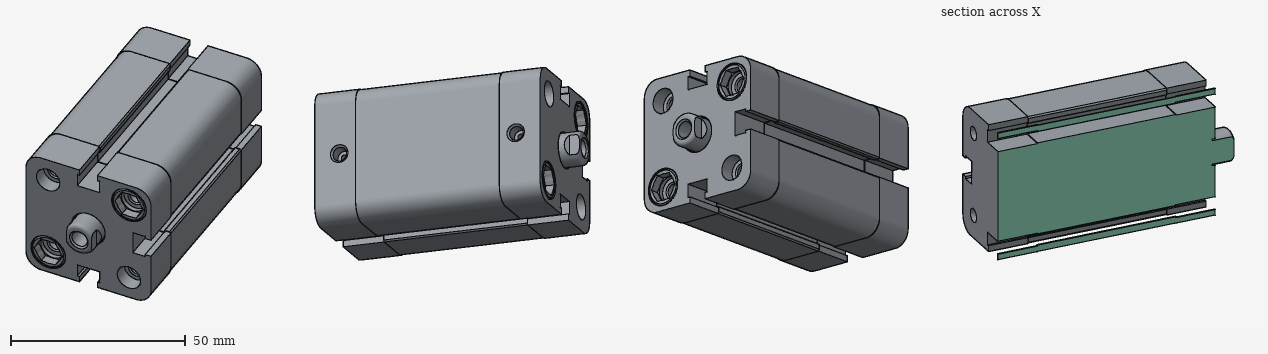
import cadquery as cq


total_length = 75.0
housing_length = 69.0
cap_length = 12.5
cap_width = 40.3
cap_corner_radius = 4.9
tube_width = 40.1
tube_corner_radius = 5.1

cap_slot_mouth = 5.8
cap_slot_width = 7.2
cap_slot_lip = 1.9
slot_size_step = 0.45
slot_depth = 5.85
slot_floor = cap_width / 2 - slot_depth
slot_height_step = 0.2
slot_mouth_chamfer = 0.45
slot_lip_chamfer = 0.2

fixing_pitch = 26.0
through_diameter = 4.1
countersink_diameter = 4.95
thread_diameter = 7.5
thread_depth = 4.5

screw_bore_diameter = 7.6
screw_bore_depth = 4.2
head_recess_diameter = 11.1
head_diameter = 10.8
head_top_diameter = 10.0
head_top_depth = 0.1
hex_corner_diameter = 9.0
hex_relief_diameter = 8.0
hex_depth = 2.8

rod_diameter = 10.0
rod_length = total_length - housing_length
rod_tip_radius = 1.2
rod_flat_width = 8.0
rod_flat_length = 3.15
rod_flat_runout = 1.2
rod_thread_diameter = 4.95
rod_thread_chamfer_diameter = 6.0
rod_thread_depth = 9.75
rod_drill_tip_diameter = 3.0

wiper_diameter = 10.5
wiper_chamfer_diameter = 10.8
wiper_depth = 1.0

port_offset = 7.5
port_chamfer_diameter = 5.3
port_thread_diameter = 4.1
port_thread_depth = 4.5
port_drill_diameter = 2.0
port_drill_depth = 7.5


def y_prism(sketch, start, length):
    """Extrude a sketch drawn in (x, z) from y = start towards +Y."""
    return sketch.extrude(-length).translate((0, start, 0))


def rounded_square(width, radius, start, length):
    block = y_prism(cq.Workplane("XZ").rect(width, width), start, length)
    return block.edges("|Y").fillet(radius)


def turned(profile, x=0, z=0):
    """Revolve a closed (radius, y) profile about an axis parallel to Y."""
    solid = cq.Workplane("XY").polyline(profile).close().revolve(360, (0, 0, 0), (0, 1, 0))
    return solid.translate((x, 0, z))


def slot_cutter(half_outline, start, length):
    """Slot open to +Z; the outline runs from mouth to floor at x > 0 and is mirrored to x < 0."""
    mirrored = [(-x, z) for x, z in reversed(half_outline)]
    return y_prism(cq.Workplane("XZ").polyline(half_outline + mirrored).close(), start, length)


def cut_slots(body, cutter):
    """Cut the slot on the +Z, +X and -Z sides."""
    for angle in (0, 90, 180):
        body = body.cut(cutter.rotate((0, 0, 0), (0, 1, 0), angle))
    return body


def make_cap(start):
    cap = rounded_square(cap_width, cap_corner_radius, start, cap_length)
    top = cap_width / 2
    mouth = cap_slot_mouth / 2
    side = cap_slot_width / 2
    lip = top - cap_slot_lip
    outline = [(mouth, top), (mouth, lip), (side, lip), (side, slot_floor)]
    return cut_slots(cap, slot_cutter(outline, start, cap_length))


def make_tube():
    length = housing_length - 2 * cap_length
    tube = rounded_square(tube_width, tube_corner_radius, cap_length, length)
    top = tube_width / 2
    mouth = (cap_slot_mouth - slot_size_step) / 2
    side = (cap_slot_width - slot_size_step) / 2
    lip = top - cap_slot_lip - slot_height_step
    outline = [
        (mouth + slot_mouth_chamfer, top),
        (mouth, top - slot_mouth_chamfer),
        (mouth, lip + slot_lip_chamfer),
        (mouth + slot_lip_chamfer, lip),
        (side, lip),
        (side, slot_floor + slot_height_step),
    ]
    return cut_slots(tube, slot_cutter(outline, cap_length, length))


def fixing_hole_cutter(bore_diameter, bore_depth, x, z):
    bore = bore_diameter / 2
    sink = countersink_diameter / 2
    through = through_diameter / 2
    profile = [
        (0, 0),
        (bore, 0),
        (bore, bore_depth),
        (sink, bore_depth),
        (through, bore_depth + sink - through),
        (through, housing_length),
        (0, housing_length),
    ]
    return turned(profile, x, z)


def screw_head_cutter(x, z):
    """Clearance around the sunk, chamfered head plus the relieved hexagon socket."""
    top = head_top_diameter / 2
    head = head_diameter / 2
    recess = head_recess_diameter / 2
    groove_depth = head_top_depth + head - top
    clearance = turned(
        [
            (0, 0),
            (recess, 0),
            (recess, groove_depth),
            (head, groove_depth),
            (top, head_top_depth),
            (0, head_top_depth),
        ],
        x,
        z,
    )
    hexagon = y_prism(cq.Workplane("XZ").polygon(6, hex_corner_diameter), 0, hex_depth)
    relief = y_prism(cq.Workplane("XZ").circle(hex_relief_diameter / 2), 0, hex_depth)
    return clearance.union(hexagon.union(relief).translate((x, 0, z)))


def make_rod():
    rod = cq.Workplane("XZ").circle(rod_diameter / 2).extrude(rod_length)
    rod = rod.faces("<Y").edges().fillet(rod_tip_radius)

    flat_x = rod_flat_width / 2
    rod_x = rod_diameter / 2
    flat_end = rod_flat_length - rod_length
    flat = (
        cq.Workplane("XY")
        .moveTo(flat_x, -rod_length)
        .lineTo(flat_x, flat_end)
        .lineTo(rod_x, flat_end + rod_flat_runout)
        .lineTo(rod_x, -rod_length)
        .close()
        .extrude(rod_x, both=True)
    )
    return rod.cut(flat).cut(flat.mirror("YZ"))


def rod_thread_cutter():
    chamfer = rod_thread_chamfer_diameter / 2
    thread = rod_thread_diameter / 2
    tip = rod_drill_tip_diameter / 2
    start = -rod_length
    end = start + rod_thread_depth
    profile = [
        (0, start),
        (chamfer, start),
        (thread, start + chamfer - thread),
        (thread, end),
        (tip, end + thread - tip),
        (0, end + thread - tip),
    ]
    return turned(profile)


def wiper_cutter():
    """Narrow chamfered gap around the rod."""
    rod = rod_diameter / 2
    bore = wiper_diameter / 2
    chamfer = wiper_chamfer_diameter / 2
    return turned([(rod, 0), (chamfer, 0), (bore, chamfer - bore), (bore, wiper_depth), (rod, wiper_depth)])


def port_cutter(y):
    """Port on the -X side, drilled towards +X at height z = 0."""
    chamfer = port_chamfer_diameter / 2
    thread = port_thread_diameter / 2
    drill = port_drill_diameter / 2
    profile = [
        (0, 0),
        (chamfer, 0),
        (thread, chamfer - thread),
        (thread, port_thread_depth),
        (drill, port_thread_depth),
        (drill, port_drill_depth),
        (0, port_drill_depth),
    ]
    port = turned(profile).rotate((0, 0, 0), (0, 0, 1), -90)
    return port.translate((-cap_width / 2, y, 0))


body = make_cap(0).union(make_tube()).union(make_cap(housing_length - cap_length))

body = body.cut(wiper_cutter()).union(make_rod()).cut(rod_thread_cutter())

for side_x in (-1, 1):
    for side_z in (-1, 1):
        hole_x = side_x * fixing_pitch / 2
        hole_z = side_z * fixing_pitch / 2
        if side_x == side_z:
            body = body.cut(fixing_hole_cutter(screw_bore_diameter, screw_bore_depth, hole_x, hole_z))
            body = body.cut(screw_head_cutter(hole_x, hole_z))
        else:
            body = body.cut(fixing_hole_cutter(thread_diameter, thread_depth, hole_x, hole_z))

for port_y in (port_offset, housing_length - port_offset):
    body = body.cut(port_cutter(port_y))

result = body